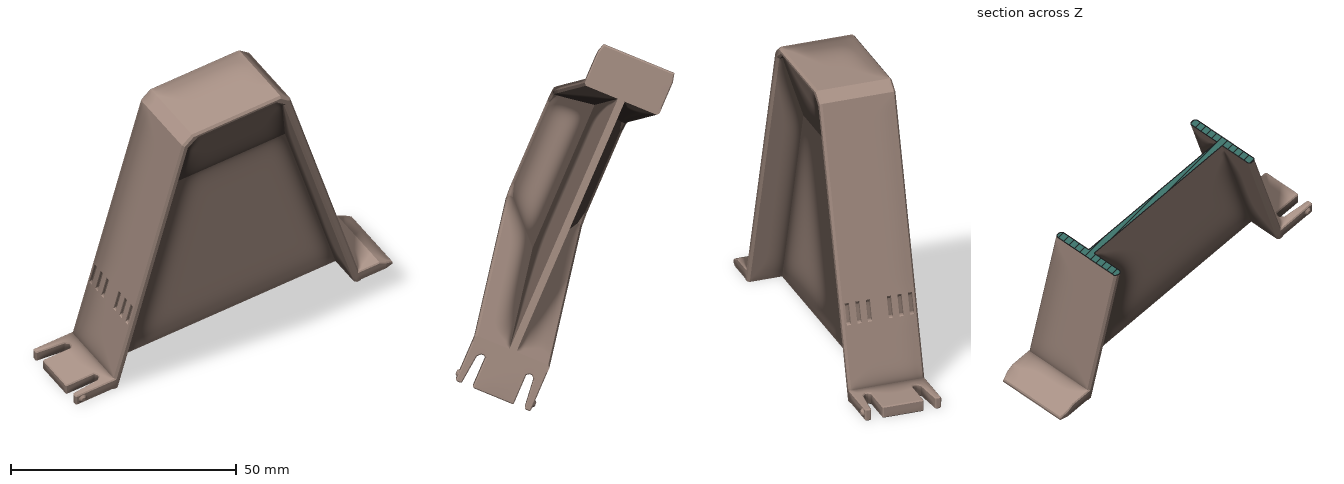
import cadquery as cq
import math

length = 83.2
width = 18.0
height = 67.5
half_length = length / 2
half_width = width / 2

arch_y = 0.6
base_half = 32.9
shoulder_half = 14.15
shoulder_z = 65.4
crown_half = 11.6
side_wall = 1.9
crown_wall = 1.5
edge_chamfer = 0.5
side_lean = math.atan2(base_half - shoulder_half, shoulder_z)

opening_base_half = base_half - side_wall / math.cos(side_lean)
opening_shoulder_z = 64.1
opening_crown_half = 10.1
opening_top = height - crown_wall
pocket_overcut = 3.3

web = 1.7
crease_z = 46.2

foot_height = 2.8
foot_chamfer = 0.25
foot_root = opening_base_half + edge_chamfer

wedge_run = 3.7
wedge_tip = 1.0
plan_corner_x = 0.5
plan_corner_y = 2.0

tongue_half = 4.9
tongue_corner_y = -34.3
notch_end_y = -33.9
arm_corner = (6.8, -34.6)
arm_tip_inner_x = 7.6
notch_end_inner_x = 5.5
notch_end_outer_x = 6.1
stud_base_radius = 1.0
stud_tip_radius = 0.5
stud_height = 0.5
stud_inset = 1.7

groove_width = 1.0
groove_length = 5.0
groove_depth = 0.6
groove_pitch = 2.5
groove_steps = (-3, -2, -1, 1, 2, 3)
groove_z = 19.3


def arch_outline(x, foot_half, foot_z, corner_z, top_half, top_z):
    """Leaning-sided outline with bevelled shoulders, drawn in the plane at x."""
    corner_half = foot_half - (corner_z - foot_z) * math.tan(side_lean)
    return cq.Workplane("YZ", origin=(x, arch_y, 0)).polyline([
        (-foot_half, foot_z),
        (-corner_half, corner_z),
        (-top_half, top_z),
        (top_half, top_z),
        (corner_half, corner_z),
        (foot_half, foot_z),
    ]).close()


def opening_outline(x):
    """Opening outline in the plane at x, carried on below the base so that it cuts through."""
    low_half = opening_base_half + pocket_overcut * math.tan(side_lean)
    return arch_outline(x, low_half, -pocket_overcut, opening_shoulder_z, opening_crown_half, opening_top)


def arch_body():
    body = arch_outline(-half_width, base_half, 0, shoulder_z, crown_half, height).extrude(width)
    return body.faces("<X or >X").edges("not <Z").chamfer(edge_chamfer)


def pocket():
    """Pocket on the -X side, with a bevelled mouth and a sloping upper floor."""
    bevel_x = -half_width + edge_chamfer
    recess = opening_outline(bevel_x).extrude(-bevel_x - web / 2)
    depth_limit = cq.Workplane("XZ", origin=(0, half_length, 0)).polyline([
        (-half_width, -pocket_overcut),
        (-half_width, opening_top),
        (bevel_x, opening_top),
        (-web / 2, crease_z),
        (-web / 2, -pocket_overcut),
    ]).close().extrude(length)
    mouth_wire = opening_outline(-half_width).offset2D(edge_chamfer, "intersection").val()
    throat_wire = opening_outline(bevel_x).val()
    mouth = cq.Solid.makeLoft([mouth_wire, throat_wire], True)
    return recess.intersect(depth_limit).union(cq.Workplane(mouth))


def wedge_foot():
    root_y = arch_y + foot_root
    foot = cq.Workplane("YZ", origin=(-half_width, 0, 0)).polyline([
        (root_y, 0),
        (half_length, 0),
        (half_length, wedge_tip),
        (half_length - wedge_run, foot_height),
        (root_y, foot_height),
    ]).close().extrude(width)
    plan = cq.Workplane("XY").polyline([
        (-half_width, root_y),
        (-half_width, half_length - plan_corner_y),
        (-half_width + plan_corner_x, half_length),
        (half_width - plan_corner_x, half_length),
        (half_width, half_length - plan_corner_y),
        (half_width, root_y),
    ]).close().extrude(foot_height)
    foot = foot.intersect(plan)
    return foot.edges("(not (|X or |Z)) or (|X and >Y)").chamfer(foot_chamfer)


def notch(side):
    """Gap with a bevelled inner end between the tongue and one arm; side is -1 or +1."""
    outline = [
        (tongue_half, -half_length),
        (tongue_half, tongue_corner_y),
        (notch_end_inner_x, notch_end_y),
        (notch_end_outer_x, notch_end_y),
        arm_corner,
        (arm_tip_inner_x, -half_length),
    ]
    corners = [(side * x, y) for x, y in outline]
    return cq.Workplane("XY").polyline(corners).close().extrude(foot_height)


def stud(side):
    """Tapered snap stud on the outer face of one arm."""
    cone = cq.Solid.makeCone(
        stud_base_radius,
        stud_tip_radius,
        stud_height,
        cq.Vector(side * half_width, -half_length + stud_inset, foot_height / 2),
        cq.Vector(side, 0, 0),
    )
    return cq.Workplane(cone)


def clip_foot():
    root_y = arch_y - foot_root
    foot = cq.Workplane("XY").box(
        width, root_y + half_length, foot_height, centered=(True, False, False)
    ).translate((0, -half_length, 0))
    for side in (-1, 1):
        foot = foot.cut(notch(side))
    foot = foot.edges("(<Y and |Z) or ((<Z or >Z) and (not >Y))").chamfer(foot_chamfer)
    for side in (-1, 1):
        foot = foot.union(stud(side))
    return foot


def groove(x):
    """Groove with ramped ends, sunk square to the leaning -Y wall."""
    half = groove_length / 2
    wall_y = arch_y - base_half + groove_z * math.tan(side_lean)
    return (
        cq.Workplane("YZ")
        .polyline([
            (0, -half),
            (groove_depth, -half + groove_depth),
            (groove_depth, half - groove_depth),
            (0, half),
        ])
        .close()
        .extrude(groove_width / 2, both=True)
        .rotate((0, 0, 0), (1, 0, 0), -math.degrees(side_lean))
        .translate((x, wall_y, groove_z))
    )


result = arch_body()
left_pocket = pocket()
result = result.cut(left_pocket).cut(left_pocket.mirror("YZ"))
for step in groove_steps:
    result = result.cut(groove(step * groove_pitch))
result = result.union(wedge_foot()).union(clip_foot())